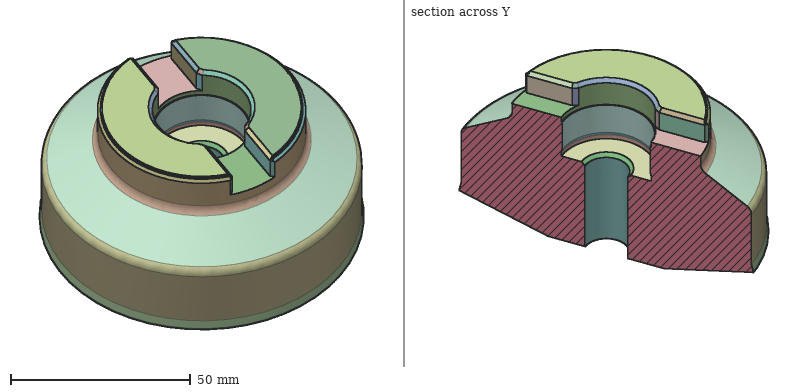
import cadquery as cq
import math

TOTAL_HEIGHT = 50.0
SLOT_FLOOR = 42.9
BORE_STEP = 41.4
UNDERCUT_TOP = 32.0
BORE_FLOOR = 29.4
RIM_TOP = 10.3
RIM_EDGE = 7.9

RIM_RADIUS = 45.3
BODY_RADIUS = 44.8
BOSS_RADIUS = 29.1
BASE_RADIUS = 17.85
TOP_FACE_RADIUS = 27.8
MOUTH_RADIUS = 13.8
BORE_RADIUS = 13.5
HOLE_RADIUS = 6.5

BASE_CONE_ANGLE = 15.0
SHOULDER_ANGLE = 30.0
SHOULDER_BOTTOM = 29.2
BLEND_RADIUS = 2.9
BOSS_CHAMFER = 0.8
TOP_STEP_HEIGHT = 0.6
UNDERCUT_TAPER_HEIGHT = 1.1
EDGE_CHAMFER = 1.1
SLOT_WIDTH = 12.3


def slope_rise(radial_distance, angle):
    """Height gained along a cone over a radial distance."""
    return radial_distance * math.tan(math.radians(angle))


def turned_body():
    """Solid of revolution with rounded transitions at both ends of the shoulder."""
    rim_bottom = slope_rise(RIM_RADIUS - BASE_RADIUS, BASE_CONE_ANGLE)
    shoulder_top = SHOULDER_BOTTOM + slope_rise(BODY_RADIUS - BOSS_RADIUS, SHOULDER_ANGLE)
    outline = [
        (0, 0),
        (BASE_RADIUS, 0),
        (RIM_RADIUS, rim_bottom),
        (RIM_RADIUS, RIM_EDGE),
        (BODY_RADIUS, RIM_TOP),
        (BODY_RADIUS, SHOULDER_BOTTOM),
        (BOSS_RADIUS, shoulder_top),
        (BOSS_RADIUS, TOTAL_HEIGHT),
        (0, TOTAL_HEIGHT),
    ]
    body = cq.Workplane("XZ").polyline(outline).close().revolve(360, (0, 0), (0, 1))
    for radius, height in ((BODY_RADIUS, SHOULDER_BOTTOM), (BOSS_RADIUS, shoulder_top)):
        corner = cq.selectors.BoxSelector(
            (-2 * radius, -2 * radius, height - 0.1),
            (2 * radius, 2 * radius, height + 0.1),
            boundingbox=True,
        )
        body = body.edges(corner).fillet(BLEND_RADIUS)
    return body


def stepped_bore():
    """Counterbore with a wide mouth, an undercut foot and a chamfered through hole."""
    hole_profile = [
        (0, 0),
        (HOLE_RADIUS, 0),
        (HOLE_RADIUS, BORE_FLOOR - EDGE_CHAMFER),
        (HOLE_RADIUS + EDGE_CHAMFER, BORE_FLOOR),
        (MOUTH_RADIUS, BORE_FLOOR),
        (MOUTH_RADIUS, UNDERCUT_TOP - UNDERCUT_TAPER_HEIGHT),
        (BORE_RADIUS, UNDERCUT_TOP),
        (BORE_RADIUS, BORE_STEP),
        (MOUTH_RADIUS, BORE_STEP),
        (MOUTH_RADIUS, TOTAL_HEIGHT),
        (0, TOTAL_HEIGHT),
    ]
    return cq.Workplane("XZ").polyline(hole_profile).close().revolve(360, (0, 0), (0, 1))


def cross_slot():
    """Slot running along X through the boss."""
    return (
        cq.Workplane("XY", origin=(0, 0, SLOT_FLOOR))
        .rect(2 * RIM_RADIUS, SLOT_WIDTH)
        .extrude(TOTAL_HEIGHT - SLOT_FLOOR)
    )


def chamfer_driving_lugs(part):
    """Break the upright corners of the lugs, then the top edges along slot and bore."""
    slot_corners = cq.selectors.BoxSelector(
        (-RIM_RADIUS, -SLOT_WIDTH, SLOT_FLOOR),
        (RIM_RADIUS, SLOT_WIDTH, TOTAL_HEIGHT),
    )
    part = part.edges("|Z").edges(slot_corners).chamfer(EDGE_CHAMFER)
    inner_edges = cq.selectors.BoxSelector(
        (-BOSS_RADIUS, -MOUTH_RADIUS, SLOT_FLOOR),
        (BOSS_RADIUS, MOUTH_RADIUS, TOTAL_HEIGHT + 0.9),
    )
    return part.faces(">Z").edges(inner_edges).chamfer(EDGE_CHAMFER)


def boss_edge_ring():
    """Ring of waste that leaves a low step and a chamfer around the boss top."""
    ledge = TOTAL_HEIGHT - TOP_STEP_HEIGHT
    profile = [
        (TOP_FACE_RADIUS, TOTAL_HEIGHT),
        (TOP_FACE_RADIUS, ledge),
        (BOSS_RADIUS - BOSS_CHAMFER, ledge),
        (BOSS_RADIUS, ledge - BOSS_CHAMFER),
        (RIM_RADIUS, ledge - BOSS_CHAMFER),
        (RIM_RADIUS, TOTAL_HEIGHT),
    ]
    return cq.Workplane("XZ").polyline(profile).close().revolve(360, (0, 0), (0, 1))


lugged_body = turned_body().cut(cross_slot()).cut(stepped_bore())
result = chamfer_driving_lugs(lugged_body).cut(boss_edge_ring())